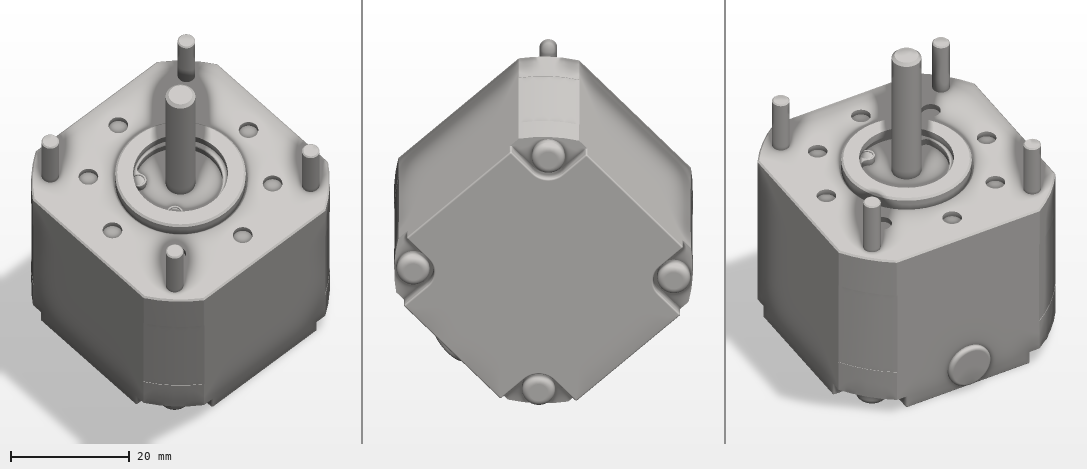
import cadquery as cq
import math

CASE_WIDTH = 42.0
COVER_CORNER_RADIUS = 25.15
STATOR_CORNER_RADIUS = 25.1
REAR_COVER_TOP = 8.5
STATOR_TOP = 25.2
CASE_TOP = 32.65
CASE_EDGE_BREAK = 0.3

PILOT_RADIUS = 11.0
PILOT_HEIGHT = 2.0
PILOT_CHAMFER = 0.35
PILOT_SEAM_DEPTH = 0.35
PILOT_TOP = CASE_TOP + PILOT_HEIGHT
BORE_RADIUS = 8.0
BORE_DEPTH = 1.35
SHAFT_RADIUS = 2.5
SHAFT_TOP = 57
SHAFT_CHAMFER = 0.5

RING_THICKNESS = 1.3
RING_OUTER_RADIUS = 8.55
RING_INNER_RADIUS = 7.4
RING_INNER_SHIFT = 0.4
EAR_RADIUS = 1.35
EAR_HOLE_RADIUS = 1.0
EAR_HOLE_DEPTH = 0.3
RING_CHAMFER = 0.1
EAR_X = 4.55
EAR_Y = -5.5
EAR_BLEND_RADIUS = 1.15
RING_TOP = PILOT_TOP - BORE_DEPTH
RING_BOTTOM = RING_TOP - RING_THICKNESS

HOLE_COUNT = 8
HOLE_RADIUS = 1.65
HOLE_CIRCLE_RADIUS = 15.5
HOLE_DEPTH = 1.0

SCREW_OFFSET = 15.5
SCREW_RADIUS = 1.5
SCREW_TIP = 42.5
SCREW_CHAMFER = 0.2
HEAD_RADIUS = 2.8
HEAD_HEIGHT = 2.35
HEAD_ROUND = 1.2
NOTCH_HEIGHT = 2.5
NOTCH_SIZE = 9.0
NOTCH_INNER_ROUND = SCREW_OFFSET - (CASE_WIDTH / 2 - NOTCH_SIZE)

SIDE_BOSS_RADIUS = 4.0
SIDE_BOSS_HEIGHT = 0.95
SIDE_BOSS_ROUND = 0.55
SIDE_BOSS_Z = 4.7

SCREW_POINTS = [(x, y) for x in (-SCREW_OFFSET, SCREW_OFFSET) for y in (-SCREW_OFFSET, SCREW_OFFSET)]


def cylinder(radius, bottom, top):
    return cq.Workplane("XY").workplane(offset=bottom).circle(radius).extrude(top - bottom)


def case_section(corner_radius, bottom, top):
    """Square block whose corners are trimmed by a cylinder about the motor axis."""
    height = top - bottom
    block = cq.Workplane("XY").workplane(offset=bottom).rect(CASE_WIDTH, CASE_WIDTH).extrude(height)
    return block.intersect(cylinder(corner_radius, bottom, top))


def foot():
    """Cross-shaped bottom of the rear cover; the four missing corners free the screw heads."""
    arm_width = CASE_WIDTH - 2 * NOTCH_SIZE
    cross = cq.Workplane("XY").rect(CASE_WIDTH, arm_width).extrude(NOTCH_HEIGHT)
    cross = cross.union(cq.Workplane("XY").rect(arm_width, CASE_WIDTH).extrude(NOTCH_HEIGHT))
    reach = (arm_width + CASE_WIDTH) / 4
    inner_corners = cq.selectors.BoxSelector((-reach, -reach, 0), (reach, reach, NOTCH_HEIGHT))
    cross = cross.edges("|Z").edges(inner_corners).fillet(NOTCH_INNER_ROUND)
    cross = cross.edges("|Z").edges(">X or <X or >Y or <Y").fillet(CASE_EDGE_BREAK)
    return cross.faces("<Z").edges().fillet(CASE_EDGE_BREAK)


def rear_cover():
    return foot().union(case_section(COVER_CORNER_RADIUS, NOTCH_HEIGHT, REAR_COVER_TOP))


def front_cover():
    cover = case_section(COVER_CORNER_RADIUS, STATOR_TOP, CASE_TOP)
    return cover.edges("|Z").fillet(CASE_EDGE_BREAK).faces(">Z").edges().chamfer(CASE_EDGE_BREAK)


def pilot():
    return cylinder(PILOT_RADIUS, CASE_TOP, PILOT_TOP).faces(">Z").edges().chamfer(PILOT_CHAMFER)


def pilot_seam():
    """Ring of triangular section: vertical along the pilot wall, 45 degrees outside."""
    outer = PILOT_RADIUS + PILOT_SEAM_DEPTH
    bottom = CASE_TOP - PILOT_SEAM_DEPTH
    section = [(PILOT_RADIUS, CASE_TOP), (outer, CASE_TOP), (PILOT_RADIUS, bottom)]
    return cq.Workplane("XZ").polyline(section).close().revolve(360, (0, 0, 0), (0, 1, 0))


def side_boss():
    boss = (
        cq.Workplane("XZ", origin=(0, CASE_WIDTH / 2, SIDE_BOSS_Z))
        .circle(SIDE_BOSS_RADIUS)
        .extrude(-SIDE_BOSS_HEIGHT)
    )
    return boss.faces(">Y").edges().fillet(SIDE_BOSS_ROUND)


def mounting_holes():
    return (
        cq.Workplane("XY")
        .workplane(offset=CASE_TOP - HOLE_DEPTH)
        .polarArray(HOLE_CIRCLE_RADIUS, 0, 360, HOLE_COUNT)
        .circle(HOLE_RADIUS)
        .extrude(HOLE_DEPTH)
    )


def screw_ends():
    """Screw tips standing out of the front face and rounded heads in the corner notches."""
    tips = (
        cq.Workplane("XY")
        .workplane(offset=CASE_TOP)
        .pushPoints(SCREW_POINTS)
        .circle(SCREW_RADIUS)
        .extrude(SCREW_TIP - CASE_TOP)
        .faces(">Z")
        .edges()
        .chamfer(SCREW_CHAMFER)
    )
    heads = (
        cq.Workplane("XY")
        .workplane(offset=NOTCH_HEIGHT - HEAD_HEIGHT)
        .pushPoints(SCREW_POINTS)
        .circle(HEAD_RADIUS)
        .extrude(HEAD_HEIGHT)
        .faces("<Z")
        .edges()
        .fillet(HEAD_ROUND)
    )
    return tips, heads


def build_motor():
    motor = rear_cover().union(case_section(STATOR_CORNER_RADIUS, REAR_COVER_TOP, STATOR_TOP))
    motor = motor.union(front_cover()).cut(pilot_seam()).union(pilot()).union(side_boss())
    motor = motor.cut(cylinder(BORE_RADIUS, RING_TOP, PILOT_TOP))
    motor = motor.cut(cylinder(RING_OUTER_RADIUS, RING_BOTTOM, RING_TOP)).cut(mounting_holes())
    shaft = cylinder(SHAFT_RADIUS, RING_BOTTOM, SHAFT_TOP).faces(">Z").edges().chamfer(SHAFT_CHAMFER)
    motor = motor.union(shaft)
    for ends in screw_ends():
        motor = motor.union(ends)
    return motor


def blend_ears(ring):
    """Round the corners where the ears rise from the inner edge of the ring."""
    distance = math.hypot(EAR_X, EAR_Y + RING_INNER_SHIFT)
    cosine = (RING_INNER_RADIUS**2 + distance**2 - EAR_RADIUS**2) / (2 * RING_INNER_RADIUS * distance)
    angle = math.atan2(EAR_Y + RING_INNER_SHIFT, EAR_X) + math.acos(cosine)
    x = RING_INNER_RADIUS * math.cos(angle)
    y = RING_INNER_RADIUS * math.sin(angle) - RING_INNER_SHIFT
    middle = (RING_BOTTOM + RING_TOP) / 2
    for side in (-1, 1):
        corner = cq.selectors.NearestToPointSelector((side * x, y, middle))
        ring = ring.edges("|Z").edges(corner).fillet(EAR_BLEND_RADIUS)
    return ring


def build_retaining_ring():
    """Open ring with a drilled ear at each end, the gap facing -Y."""
    ear_points = [(-EAR_X, EAR_Y), (EAR_X, EAR_Y)]
    plane = cq.Workplane("XY").workplane(offset=RING_BOTTOM)
    opening = plane.center(0, -RING_INNER_SHIFT).circle(RING_INNER_RADIUS).extrude(RING_THICKNESS)
    beyond_x = 2 * EAR_X
    beyond_y = 2 * EAR_Y
    wedge = [(0, 0), (beyond_x, beyond_y), (-beyond_x, beyond_y)]
    gap = plane.polyline(wedge).close().extrude(RING_THICKNESS)
    ring = cylinder(RING_OUTER_RADIUS, RING_BOTTOM, RING_TOP).cut(opening).cut(gap)
    ears = plane.pushPoints(ear_points).circle(EAR_RADIUS).extrude(RING_THICKNESS)
    ears = ears.intersect(cylinder(RING_OUTER_RADIUS, RING_BOTTOM, RING_TOP))
    ring = blend_ears(ring.union(ears))
    recesses = (
        cq.Workplane("XY")
        .workplane(offset=RING_TOP - EAR_HOLE_DEPTH)
        .pushPoints(ear_points)
        .circle(EAR_HOLE_RADIUS)
        .extrude(EAR_HOLE_DEPTH)
    )
    return ring.cut(recesses).faces(">Z").edges().chamfer(RING_CHAMFER)


motor = build_motor()
retaining_ring = build_retaining_ring()

result = cq.Compound.makeCompound([motor.val(), retaining_ring.val()])